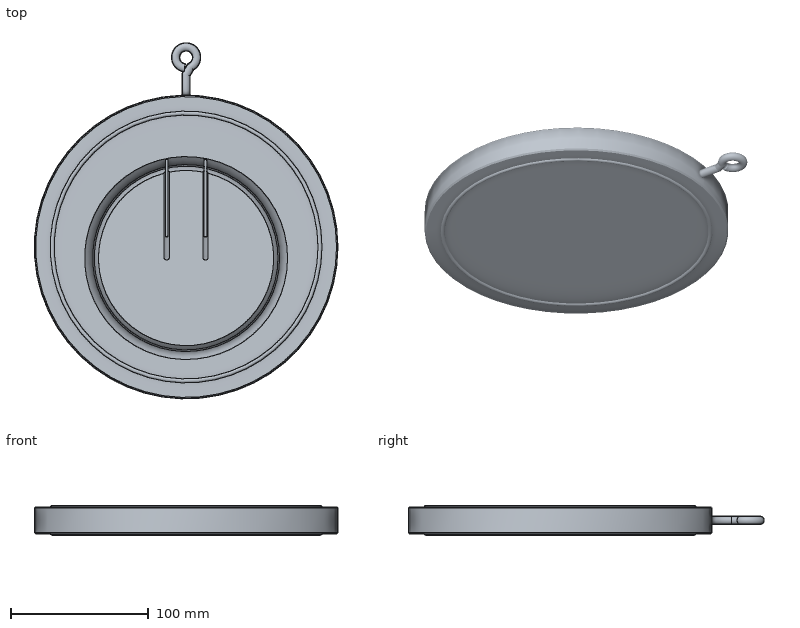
import cadquery as cq
import math

body_diameter = 220.0
body_thickness = 19.5
body_chamfer = 1.0
total_thickness = 21.7
bead_diameter = 194.0
bead_wire_diameter = 3.0

bore_offset = -8.0
bore_rim_diameter = 147.0
bore_floor_diameter = 135.5
recess_depth = 9.8
disc_taper_height = 5.7
disc_top_drop = 0.5
disc_base_diameter = 133.0
disc_top_diameter = 127.0

pin_spacing = 28.0
pin_diameter = 2.0
groove_width = 3.9
pin_start = 7.2
pin_tip_chamfer = 0.5
pin_end = 63.5
groove_start = -7.5

wire_diameter = 6.0
eye_outer_diameter = 21.2
overall_length = 258.0
neck_start = 124.9
shank_embed = 2.5
loop_start_angle = -65.0
loop_sweep = 328.0

body_radius = body_diameter / 2
body_top = body_thickness / 2
bead_top = total_thickness / 2
disc_top = body_top - disc_top_drop


def rod(start, end, diameter):
    """Cylinder running between two points."""
    axis = cq.Vector(*end) - cq.Vector(*start)
    return cq.Workplane(cq.Solid.makeCylinder(diameter / 2, axis.Length, cq.Vector(*start), axis))


def cone(lower_diameter, upper_diameter, bottom, height):
    """Upright frustum on the eccentric seat axis."""
    base = cq.Vector(0, bore_offset, bottom)
    return cq.Workplane(
        cq.Solid.makeCone(lower_diameter / 2, upper_diameter / 2, height, base, cq.Vector(0, 0, 1))
    )


def ball(centre, diameter):
    """Sphere about a point."""
    return cq.Workplane("XY").sphere(diameter / 2).translate(centre)


def make_body():
    """Chamfered round plate with a rounded sealing bead on each side."""
    body = cq.Workplane("XY").circle(body_radius).extrude(body_thickness)
    body = body.translate((0, 0, -body_top)).edges().chamfer(body_chamfer)
    bead_z = bead_top - bead_wire_diameter / 2
    for z in (-bead_z, bead_z):
        bead = cq.Solid.makeTorus(
            bead_diameter / 2, bead_wire_diameter / 2, cq.Vector(0, 0, z), cq.Vector(0, 0, 1)
        )
        body = body.union(cq.Workplane(bead))
    return body


def cut_recess(body):
    """Tapered recess around a slightly lower tapered disc standing on its floor."""
    floor = body_top - recess_depth
    recess = cone(bore_floor_diameter, bore_rim_diameter, floor, recess_depth)
    taper_bottom = disc_top - disc_taper_height
    taper = cone(disc_base_diameter, disc_top_diameter, taper_bottom, disc_taper_height)
    disc_edge = cq.Workplane("XY", origin=(0, bore_offset, floor)).circle(disc_base_diameter / 2)
    disc = disc_edge.extrude(taper_bottom - floor).union(taper)
    return body.cut(recess.cut(disc))


def add_pin(body, x):
    """Half-round groove across the disc, and a pin lying in it that reaches the recess wall."""
    disc_edge = bore_offset + disc_base_diameter / 2
    groove = rod((x, groove_start, disc_top), (x, disc_edge, disc_top), groove_width)
    groove = groove.union(ball((x, groove_start, disc_top), groove_width))
    pin_z = disc_top - pin_diameter / 2
    pin = rod((x, pin_start, pin_z), (x, pin_end, pin_z), pin_diameter)
    pin = pin.faces("<Y").chamfer(pin_tip_chamfer)
    return body.cut(groove).union(pin)


def make_eye():
    """Straight shank, a neck bent to the right and an open loop."""
    loop_radius = (eye_outer_diameter - wire_diameter) / 2
    centre_y = overall_length - body_radius - eye_outer_diameter / 2
    start_angle = math.radians(loop_start_angle)
    loop_start = (loop_radius * math.cos(start_angle), centre_y + loop_radius * math.sin(start_angle), 0)
    bend = (0, neck_start, 0)

    loop = (
        cq.Workplane("XZ")
        .center(loop_radius, 0)
        .circle(wire_diameter / 2)
        .revolve(loop_sweep, (-loop_radius, 0, 0), (-loop_radius, 1, 0))
        .rotate((0, 0, 0), (0, 0, 1), loop_start_angle)
        .translate((0, centre_y, 0))
    )
    shank = rod((0, body_radius - shank_embed, 0), bend, wire_diameter)
    neck = rod(bend, loop_start, wire_diameter)
    eye = shank.union(neck).union(loop)
    for joint in (bend, loop_start):
        eye = eye.union(ball(joint, wire_diameter))
    return eye


result = cut_recess(make_body())
for side in (-1, 1):
    result = add_pin(result, side * pin_spacing / 2)
result = result.union(make_eye())